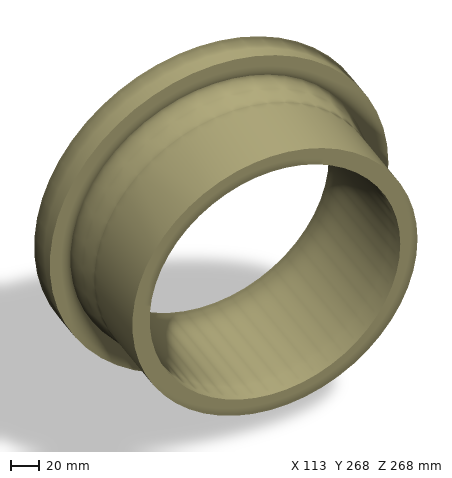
import cadquery as cq

total_length = 113.0
collar_diameter = 268.0
collar_thickness = 24.7
taper_length = 28.5
taper_base_diameter = 235.3
pipe_diameter = 225.7
bore_diameter = 198.3

collar_radius = collar_diameter / 2
taper_base_radius = taper_base_diameter / 2
pipe_radius = pipe_diameter / 2
bore_radius = bore_diameter / 2
taper_end = collar_thickness + taper_length

half_section = (
    cq.Workplane("XY")
    .moveTo(0, bore_radius)
    .lineTo(0, collar_radius)
    .lineTo(collar_thickness, collar_radius)
    .lineTo(collar_thickness, taper_base_radius)
    .lineTo(taper_end, pipe_radius)
    .lineTo(total_length, pipe_radius)
    .lineTo(total_length, bore_radius)
    .close()
)

result = half_section.revolve(360, (0, 0, 0), (1, 0, 0))